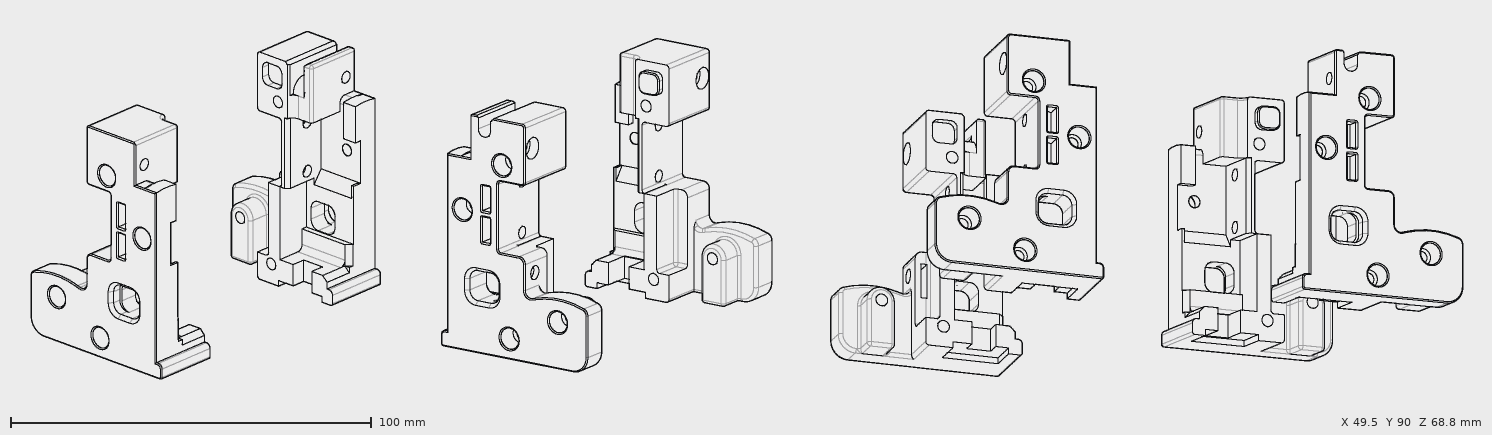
import cadquery as cq
import math

PAIR_WIDTH = 90.0
DEPTH = 20.0
BIG = 180.0
TOUCH = 0.1
SLIVER = 0.001

HEIGHT = 68.8
LEFT_WALL = 21.15
NECK_LEFT = 30.2
HEAD_RIGHT = 39.6
RIGHT_WALL = 47.4
LIP_RIGHT = 49.5
LIP_TOP = 4.6
LIP_TOP_ROUND = 1.35
LIP_BOTTOM_ROUND = 0.7
SHOULDER_Z = 56.0
HEAD_BOTTOM = 50.9
LOWER_TOP = 30.2
SMALL_ROUND = 1.0
ROUND = 2.0
TOE_ROUND = 4.95
RIM_CHAMFER = 0.4

ARM_DEPTH = 7.8
BOSS_X = 10.0
BOSS_Z = 13.5
BOSS_RADIUS = 4.0
BOSS_END = 14.9
BOSS_FOOT_ROUND = 0.7
ARM_TOP = 20.25
ARM_TOP_RADIUS = 27.0
ARM_CROWN_END = 17.7

LOWER_RIGHT = 29.6
HEAD_STEP_X = 34.65
HEAD_STEP_DEPTH = 17.8
HEAD_STEP_ROUND = DEPTH - HEAD_STEP_DEPTH
HEAD_EDGE_ROUND = 0.8
SPINE_RIGHT = HEAD_STEP_X - HEAD_STEP_ROUND
SPINE_CHAMFER = 1.2
HEAD_CAVITY_TOP = 51.6
SHELF_Z = 8.2
SHELF_WALL_TOP = 14.6
SHELF_WALL_DEPTH = 10.9
PLATE_DEPTH = 9.1
THIN_DEPTH = 6.2
RAMP_BOTTOM = 28.3
RAMP_TOP = 32.1
CHEEK_X = 46.6
RIB_LEFT = 42.9
RIB_BOTTOM = 45.0
RIB_DEPTH = 8.4
RIB_CROWN = 0.4
FOOT_RIGHT = 34.65
FOOT_LEFT = 41.7
FOOT_CHAMFER = 1.6
SHELF_ROUND = 1.7
GROOVE_LEFT = 29.2
GROOVE_RIGHT = 45.45
GROOVE_HEIGHT = 1.7

RECESS_RIGHT = 25.3
RECESS_DEPTH = 11.0
RECESS_BOTTOM = 8.0
RECESS_ROUND = 1.0

SCREW_SPOTS = [(28.9, 55.7), (42.2, 40.7), (BOSS_X, BOSS_Z), (26.4, 5.9)]
SCREW_RADIUS = 1.7
SCREW_BORE_MOUTH = 3.1
SCREW_BORE_FLOOR = 2.4
SCREW_BORE_DEPTH = 5.4
WINDOW_X = 35.5
WINDOW_Z = 19.2
WINDOW_WIDTH = 9.8
WINDOW_HEIGHT = 8.7
WINDOW_ROUND = 2.7
WINDOW_CHAMFER = 1.1
WINDOW_LEDGE = 0.8
WINDOW_LEDGE_DEPTH = 3.6
SLOT_LEFT = 32.6
SLOT_WIDTH = 3.5
SLOT_HEIGHT = 8.2
SLOT_BOTTOMS = [31.9, 40.95]
SLOT_DEPTH = 4.05
SLOT_SLOPE_X = 33.8
SLOT_DEEPEST = 4.95
SLOT_CHAMFER = 0.45
CROSS_DEPTH = 11.9
CROSS_HEIGHTS = [33.2, 48.1]
CROSS_RADIUS = 1.7
HEAD_CROSS_DEPTH = 3.8
HEAD_CROSS_Z = 61.1
HEAD_CROSS_BORE = 3.1
HEAD_CROSS_BORE_LENGTH = 3.0

TAB_X = 26.7
TAB_Z = 63.0
TAB_WIDTH = 6.9
TAB_HEIGHT = 6.5
TAB_LENGTH = 2.0
TAB_CLEARANCE = 0.2
POCKET_EXTRA_DEPTH = 0.5

CHANNEL_X = 34.7
CHANNEL_RADIUS = 2.1
CHANNEL_Z = 65.0
CHANNEL_BEND = 4.4
CHANNEL_LEFT_BEVEL = 1.0
CHANNEL_RIGHT_BEVEL = 0.6

ADJUST_DEPTH = 4.95
ADJUST_Z = 24.8
ADJUST_BORE = 2.0
ADJUST_RADIUS = 1.1
NUT_SLOT_LEFT = 22.9
NUT_SLOT_WIDTH = 1.7
NUT_SLOT_BOTTOM = 16.8
NUT_SLOT_DEPTH = 1.8
NUT_SLOT_TOP = 26.7

FRONT_NOTCH = 12.1
REAR_NOTCH = 15.7


def block(x0, x1, y0, y1, z0, z1):
    """A box given by its limits along X, Y and Z."""
    return cq.Workplane("XY").box(x1 - x0, y1 - y0, z1 - z0, centered=False).translate((x0, y0, z0))


def rod_y(x, z, radius, y0, y1):
    """A round bar along Y."""
    return cq.Workplane(cq.Solid.makeCylinder(radius, y1 - y0, cq.Vector(x, y0, z), cq.Vector(0, 1, 0)))


def rod_x(y, z, radius, x0, x1):
    """A round bar along X."""
    return cq.Workplane(cq.Solid.makeCylinder(radius, x1 - x0, cq.Vector(x0, y, z), cq.Vector(1, 0, 0)))


def rounded_bar(x, z, width, height, radius, y0, y1):
    """A rounded rectangle centred at x, z and running along Y."""
    bar = block(x - width / 2, x + width / 2, y0, y1, z - height / 2, z + height / 2)
    return bar.edges("|Y").fillet(radius)


def near(x, z, size=TOUCH):
    """Selects the edges whose centre lies on the line along Y through x, z."""
    return cq.selectors.BoxSelector((x - size, -BIG, z - size), (x + size, BIG, z + size))


def within(x_span, y_span, z_span):
    """Selects the edges whose centre lies in the given spans, widened by the selection slack."""
    spans = (x_span, y_span, z_span)
    low = tuple(span[0] - TOUCH for span in spans)
    high = tuple(span[1] + TOUCH for span in spans)
    return cq.selectors.BoxSelector(low, high)


def arm_top_z(x):
    """Height of the arm's crowned top."""
    if x > ARM_CROWN_END:
        end_angle = math.asin((ARM_CROWN_END - BOSS_X) / ARM_TOP_RADIUS)
        return arm_top_z(ARM_CROWN_END) - (x - ARM_CROWN_END) * math.tan(end_angle)
    return ARM_TOP - ARM_TOP_RADIUS + math.sqrt(ARM_TOP_RADIUS ** 2 - (x - BOSS_X) ** 2)


def outline_body():
    """The full outline at full depth, with rounded corners and a chamfered outer rim."""
    body = (
        cq.Workplane("XZ")
        .moveTo(0, 0)
        .lineTo(LIP_RIGHT, 0)
        .lineTo(LIP_RIGHT, LIP_TOP)
        .lineTo(RIGHT_WALL, LIP_TOP)
        .lineTo(RIGHT_WALL, SHOULDER_Z)
        .lineTo(HEAD_RIGHT, SHOULDER_Z)
        .lineTo(HEAD_RIGHT, HEIGHT)
        .lineTo(LEFT_WALL, HEIGHT)
        .lineTo(LEFT_WALL, HEAD_BOTTOM)
        .lineTo(NECK_LEFT, HEAD_BOTTOM)
        .lineTo(NECK_LEFT, LOWER_TOP)
        .lineTo(LEFT_WALL, LOWER_TOP)
        .lineTo(LEFT_WALL, arm_top_z(LEFT_WALL))
        .lineTo(ARM_CROWN_END, arm_top_z(ARM_CROWN_END))
        .threePointArc((BOSS_X, ARM_TOP), (0, arm_top_z(0)))
        .close()
        .extrude(-DEPTH)
    )
    corners = [
        (LEFT_WALL, HEIGHT, SMALL_ROUND),
        (LEFT_WALL, HEAD_BOTTOM, SMALL_ROUND),
        (NECK_LEFT, HEAD_BOTTOM, SMALL_ROUND),
        (NECK_LEFT, LOWER_TOP, SMALL_ROUND),
        (LEFT_WALL, LOWER_TOP, ROUND),
        (LEFT_WALL, arm_top_z(LEFT_WALL), ROUND),
        (0, arm_top_z(0), ROUND),
        (0, 0, TOE_ROUND),
        (LIP_RIGHT, LIP_TOP, LIP_TOP_ROUND),
        (LIP_RIGHT, 0, LIP_BOTTOM_ROUND),
    ]
    for x, z, radius in corners:
        body = body.edges(near(x, z)).fillet(radius)
    return body.faces("<Y").chamfer(RIM_CHAMFER)


def cut_arm(body):
    """Thin the arm, and round its inner edge."""
    body = body.cut(block(-0.9, LEFT_WALL, ARM_DEPTH, BIG, -0.9, LOWER_TOP - ROUND))
    body = body.edges(near(LEFT_WALL, 0)).edges("|Y").fillet(SMALL_ROUND)
    arm_rim = within((-0.9, LEFT_WALL - 2 * TOUCH), (ARM_DEPTH, ARM_DEPTH), (RIM_CHAMFER + TOUCH, LOWER_TOP))
    return body.edges(arm_rim).fillet(SMALL_ROUND)


def add_boss(body):
    """The boss on the arm: round on top, straight-sided down to the bottom, with a rounded foot and tip."""
    left = BOSS_X - BOSS_RADIUS
    right = BOSS_X + BOSS_RADIUS
    boss = block(left, right, ARM_DEPTH - 0.9, BOSS_END, 0, BOSS_Z)
    boss = boss.edges("|Y and <Z").fillet(SMALL_ROUND)
    boss = boss.union(rod_y(BOSS_X, BOSS_Z, BOSS_RADIUS, ARM_DEPTH - 0.9, BOSS_END))
    boss = boss.faces(">Y").edges().fillet(SMALL_ROUND)
    body = body.union(boss)
    foot = (left - TOUCH, ARM_DEPTH - TOUCH, SMALL_ROUND - TOUCH), (right + TOUCH, ARM_DEPTH + TOUCH, BIG)
    return body.edges(cq.selectors.BoxSelector(*foot, boundingbox=True)).fillet(BOSS_FOOT_ROUND)


def set_back_head(body):
    """Set the right end of the head back, with a hollow round corner and rounded edges."""
    body = body.cut(block(HEAD_STEP_X, HEAD_RIGHT + 0.9, HEAD_STEP_DEPTH, BIG, HEAD_CAVITY_TOP, BIG))
    body = body.cut(cq.Workplane("XY", origin=(HEAD_STEP_X, DEPTH, HEAD_CAVITY_TOP))
                    .circle(HEAD_STEP_ROUND).extrude(BIG))
    end_edge = within((HEAD_RIGHT, HEAD_RIGHT), (HEAD_STEP_DEPTH, HEAD_STEP_DEPTH), (HEAD_CAVITY_TOP, HEIGHT))
    body = body.edges(end_edge).edges("|Z").fillet(HEAD_EDGE_ROUND)
    top_edge = within((SPINE_RIGHT, HEAD_RIGHT), (HEAD_STEP_DEPTH, DEPTH - 2 * TOUCH), (HEIGHT, HEIGHT))
    return body.edges(top_edge).fillet(HEAD_EDGE_ROUND)


def corner_wedge(plane, points, length, start):
    """A triangular cutter extruded from a start point, for bevelling an edge."""
    return cq.Workplane(plane).polyline(points).close().extrude(length).translate(start)


def cut_cavity(body, notch_depth):
    """Everything removed from the inside of the right-hand plate below the head."""
    right = RIGHT_WALL + 0.9
    cuts = [
        block(SPINE_RIGHT, CHEEK_X, THIN_DEPTH, BIG, RAMP_TOP, HEAD_CAVITY_TOP),
        block(HEAD_RIGHT, right, THIN_DEPTH, BIG, RAMP_TOP, SHOULDER_Z + 0.9),
        block(SPINE_RIGHT, right, PLATE_DEPTH, BIG, SHELF_WALL_TOP, RAMP_TOP),
        block(LOWER_RIGHT, SPINE_RIGHT, PLATE_DEPTH, BIG, SHELF_WALL_TOP, LOWER_TOP),
        block(LOWER_RIGHT, right, SHELF_WALL_DEPTH, BIG, SHELF_Z, SHELF_WALL_TOP),
    ]
    for cut in cuts:
        body = body.cut(cut)
    wall_foot = within((LOWER_RIGHT, right), (SHELF_WALL_DEPTH, SHELF_WALL_DEPTH), (SHELF_Z, SHELF_Z))
    body = body.edges(wall_foot).fillet(SHELF_ROUND)
    shoulder = within((HEAD_RIGHT, right), (THIN_DEPTH, THIN_DEPTH), (SHOULDER_Z, SHOULDER_Z))
    body = body.edges(shoulder).fillet(ROUND)

    body = body.cut(block(FOOT_RIGHT, FOOT_LEFT, notch_depth, BIG, -0.9, SHELF_Z))
    body = body.cut(block(GROOVE_LEFT, GROOVE_RIGHT, SHELF_WALL_DEPTH, BIG, -0.9, GROOVE_HEIGHT))

    ramp = [(THIN_DEPTH, RAMP_TOP), (PLATE_DEPTH, RAMP_TOP), (PLATE_DEPTH, RAMP_BOTTOM)]
    body = body.cut(corner_wedge("YZ", ramp, CHEEK_X - SPINE_RIGHT, (SPINE_RIGHT, 0, 0)))
    bevel_x = RIGHT_WALL - FOOT_CHAMFER
    shelf_bevel = [(bevel_x, SHELF_Z), (RIGHT_WALL, SHELF_Z), (RIGHT_WALL, SHELF_Z - FOOT_CHAMFER)]
    body = body.cut(corner_wedge("XZ", shelf_bevel, -BIG, (0, SHELF_WALL_DEPTH, 0)))
    wall_bevel = [
        (bevel_x, SHELF_WALL_DEPTH + SHELF_ROUND),
        (bevel_x, SHELF_WALL_DEPTH),
        (RIGHT_WALL, SHELF_WALL_DEPTH - FOOT_CHAMFER),
        (RIGHT_WALL, SHELF_WALL_DEPTH + SHELF_ROUND),
    ]
    body = body.cut(corner_wedge("XY", wall_bevel, SHELF_WALL_TOP - SHELF_Z, (0, 0, SHELF_Z)))
    spine_bevel = [
        (SPINE_RIGHT - SPINE_CHAMFER, DEPTH),
        (SPINE_RIGHT, DEPTH),
        (SPINE_RIGHT, DEPTH - SPINE_CHAMFER),
    ]
    return body.cut(corner_wedge("XY", spine_bevel, HEAD_CAVITY_TOP - LOWER_TOP, (0, 0, LOWER_TOP)))


def add_rib(body):
    """The crowned rib behind the right end of the shoulder."""
    rib = (
        cq.Workplane("YZ")
        .moveTo(RIM_CHAMFER, RIB_BOTTOM)
        .lineTo(RIB_DEPTH, RIB_BOTTOM)
        .lineTo(RIB_DEPTH, SHOULDER_Z)
        .threePointArc((RIB_DEPTH / 2, SHOULDER_Z + RIB_CROWN), (RIM_CHAMFER, SHOULDER_Z))
        .close()
        .extrude(RIGHT_WALL - RIB_LEFT)
        .translate((RIB_LEFT, 0, 0))
    )
    return body.union(rib)


def cut_recess(body):
    """The stepped recess on the inner left of the lower block."""
    recess = block(LEFT_WALL - 0.9, RECESS_RIGHT, RECESS_DEPTH, BIG, RECESS_BOTTOM, LOWER_TOP + 0.9)
    recess = recess.edges("(>X and <Y) or (>X and <Z) or (<Y and <Z)").fillet(RECESS_ROUND)
    return body.cut(recess)


def cone_y(x, z, start_radius, end_radius, y0, y1):
    """A cone frustum along Y."""
    return cq.Workplane(cq.Solid.makeCone(
        start_radius, end_radius, y1 - y0, cq.Vector(x, y0, z), cq.Vector(0, 1, 0)))


def cut_screw_holes(body):
    """Screw holes with tapered bores entered from the outer face."""
    floor_end = SCREW_BORE_DEPTH + SCREW_BORE_FLOOR - SCREW_RADIUS
    for x, z in SCREW_SPOTS:
        body = body.cut(rod_y(x, z, SCREW_RADIUS, -0.9, BIG))
        body = body.cut(cone_y(x, z, SCREW_BORE_MOUTH + RIM_CHAMFER, SCREW_BORE_MOUTH, 0, RIM_CHAMFER))
        body = body.cut(cone_y(x, z, SCREW_BORE_MOUTH, SCREW_BORE_FLOOR, 0, SCREW_BORE_DEPTH))
        body = body.cut(cone_y(x, z, SCREW_BORE_FLOOR, SCREW_RADIUS, SCREW_BORE_DEPTH, floor_end))
    return body


def bevelled_mouth(x, z, width, height, radius, bevel):
    """A rounded rectangle whose walls slope inward by the bevel, from the outer face."""
    mouth = rounded_bar(x, z, width + 2 * bevel, height + 2 * bevel, radius + bevel, -0.9, bevel)
    return mouth.faces(">Y").chamfer(bevel - SLIVER)


def cut_window(body):
    """The rounded window through the plate, with a bevelled mouth and a ledge on its left."""
    body = body.cut(bevelled_mouth(
        WINDOW_X, WINDOW_Z, WINDOW_WIDTH, WINDOW_HEIGHT, WINDOW_ROUND, WINDOW_CHAMFER))
    body = body.cut(rounded_bar(
        WINDOW_X, WINDOW_Z, WINDOW_WIDTH, WINDOW_HEIGHT, WINDOW_ROUND, 0, WINDOW_LEDGE_DEPTH))
    return body.cut(rounded_bar(
        WINDOW_X + WINDOW_LEDGE / 2, WINDOW_Z, WINDOW_WIDTH - WINDOW_LEDGE, WINDOW_HEIGHT, WINDOW_ROUND,
        0, SHELF_WALL_DEPTH))


def cut_slots(body):
    """Two blind slots with sloping floors and bevelled mouths."""
    left = SLOT_LEFT + SLOT_CHAMFER
    right = SLOT_LEFT + SLOT_WIDTH - SLOT_CHAMFER
    floor = [(left, 0), (right, 0), (right, SLOT_DEEPEST), (SLOT_SLOPE_X, SLOT_DEPTH), (left, SLOT_DEPTH)]
    inner_height = SLOT_HEIGHT - 2 * SLOT_CHAMFER
    for bottom in SLOT_BOTTOMS:
        slot = cq.Workplane("XY").polyline(floor).close().extrude(inner_height)
        body = body.cut(slot.translate((0, 0, bottom + SLOT_CHAMFER)))
        body = body.cut(bevelled_mouth(
            SLOT_LEFT + SLOT_WIDTH / 2, bottom + SLOT_HEIGHT / 2, right - left, inner_height,
            SLOT_CHAMFER / 2, SLOT_CHAMFER))
    return body


def cut_cross_holes(body):
    """Holes along X: two through the neck and one counterbored through the head."""
    for z in CROSS_HEIGHTS:
        body = body.cut(rod_x(CROSS_DEPTH, z, CROSS_RADIUS, 0, BIG))
    body = body.cut(rod_x(HEAD_CROSS_DEPTH, HEAD_CROSS_Z, CROSS_RADIUS, 0, BIG))
    bore_end = LEFT_WALL + HEAD_CROSS_BORE_LENGTH
    return body.cut(rod_x(HEAD_CROSS_DEPTH, HEAD_CROSS_Z, HEAD_CROSS_BORE, 0, bore_end))


def bracket(notch_depth):
    """The shape shared by both brackets, outer face at y = 0."""
    body = outline_body()
    body = cut_arm(body)
    body = add_boss(body)
    body = cut_cavity(body, notch_depth)
    body = set_back_head(body)
    body = add_rib(body)
    body = cut_recess(body)
    body = cut_screw_holes(body)
    body = cut_window(body)
    body = cut_slots(body)
    return cut_cross_holes(body)


def front_bracket():
    """The bracket at low Y, with the locating tab."""
    tab = rounded_bar(TAB_X, TAB_Z, TAB_WIDTH, TAB_HEIGHT, ROUND, DEPTH - 0.9, DEPTH + TAB_LENGTH)
    tab = tab.faces(">Y").chamfer(RIM_CHAMFER)
    return bracket(FRONT_NOTCH).union(tab)


def cut_channel(body):
    """The round-bottomed channel over the head, bending down at its inner end."""
    floor = CHANNEL_Z - CHANNEL_RADIUS
    bend_start = HEAD_STEP_DEPTH - CHANNEL_BEND
    left = CHANNEL_X - CHANNEL_RADIUS
    right = CHANNEL_X + CHANNEL_RADIUS
    body = body.cut(rod_y(CHANNEL_X, CHANNEL_Z, CHANNEL_RADIUS, -0.9, BIG))
    body = body.cut(block(left, right, -0.9, BIG, CHANNEL_Z, BIG))
    for rim_x, outward in [(left, -CHANNEL_LEFT_BEVEL), (right, CHANNEL_RIGHT_BEVEL)]:
        bevel = [(rim_x + outward, HEIGHT), (rim_x, HEIGHT), (rim_x, HEIGHT - abs(outward))]
        body = body.cut(corner_wedge("XZ", bevel, -DEPTH, (0, 0, 0)))
    bend = (
        cq.Workplane("YZ")
        .moveTo(bend_start, floor)
        .radiusArc((HEAD_STEP_DEPTH, floor - CHANNEL_BEND), CHANNEL_BEND)
        .lineTo(BIG, floor - CHANNEL_BEND)
        .lineTo(BIG, CHANNEL_Z)
        .lineTo(bend_start, CHANNEL_Z)
        .close()
        .extrude(right - left)
        .translate((left, 0, 0))
    )
    return body.cut(bend)


def rear_bracket():
    """The bracket at high Y, with the pocket for the tab, the channel and the adjusting screw."""
    pocket = rounded_bar(
        TAB_X, TAB_Z, TAB_WIDTH + 2 * TAB_CLEARANCE, TAB_HEIGHT + 2 * TAB_CLEARANCE, ROUND,
        DEPTH - TAB_LENGTH - POCKET_EXTRA_DEPTH, DEPTH + 0.9)
    body = cut_channel(bracket(REAR_NOTCH).cut(pocket))
    body = body.cut(rod_x(ADJUST_DEPTH, ADJUST_Z, ADJUST_BORE, 0, NUT_SLOT_LEFT))
    body = body.cut(rod_x(ADJUST_DEPTH, ADJUST_Z, ADJUST_RADIUS, 0, WINDOW_X))
    body = body.cut(block(
        NUT_SLOT_LEFT, NUT_SLOT_LEFT + NUT_SLOT_WIDTH, NUT_SLOT_DEPTH, RECESS_DEPTH + 0.9,
        NUT_SLOT_BOTTOM, NUT_SLOT_TOP))
    return body.mirror("XZ").translate((0, PAIR_WIDTH, 0))


result = cq.Compound.makeCompound([front_bracket().val(), rear_bracket().val()])